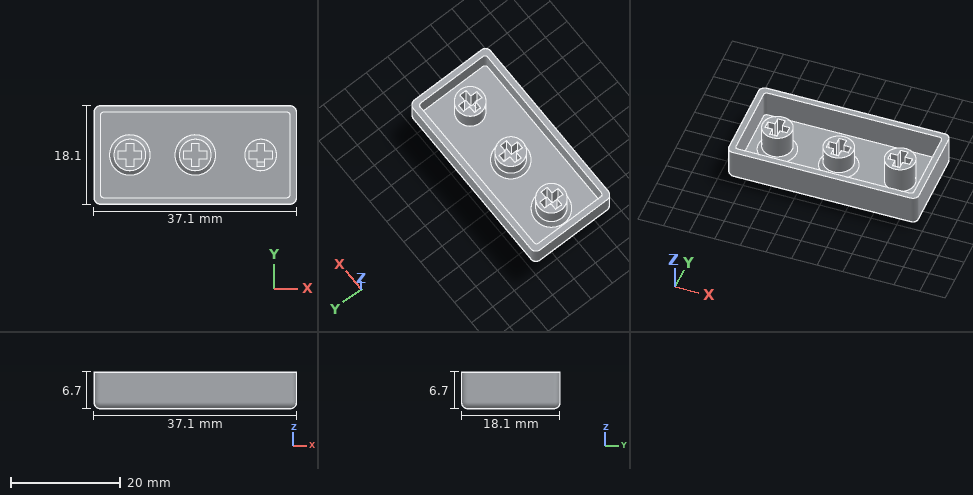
import cadquery as cq

length = 37.1
width = 18.05
height = 6.7
wall = 1.2
floor = 1.2
outer_radius = 1.2
bottom_radius = 1.15
inner_radius = 0.6
inner_length = length - 2 * wall
inner_width = width - 2 * wall

post_pitch = 12.0
post_diameter = 5.8
post_drop = 1.0
flare = 0.8

cross_length = 4.25
cross_width = 1.45
wedge = 0.8


def make_tray():
    """Open box with rounded corners and a rounded bottom edge."""
    body = cq.Workplane("XY").box(length, width, height, centered=(True, True, False))
    body = body.edges("|Z").fillet(outer_radius)
    body = body.faces("<Z").edges().fillet(bottom_radius)
    cavity = (
        cq.Workplane("XY", origin=(0, 0, floor))
        .rect(inner_length, inner_width)
        .extrude(height - floor)
        .edges("|Z")
        .fillet(inner_radius)
    )
    return body.cut(cavity)


def make_post(x, top, flared):
    """Round post standing on the floor, with an optional conical skirt."""
    radius = post_diameter / 2
    base = cq.Workplane("XY", origin=(x, 0, floor))
    post = base.circle(radius).extrude(top - floor)
    if flared:
        skirt = cq.Solid.makeCone(radius + flare, radius, flare, pnt=cq.Vector(x, 0, floor))
        post = post.union(cq.Workplane(skirt))
    return post


def make_socket(x, top):
    """Cross-shaped socket from the post top down to the floor."""
    base = cq.Workplane("XY", origin=(x, 0, floor))
    along_x = base.rect(cross_length, cross_width).extrude(top - floor)
    along_y = base.rect(cross_width, cross_length).extrude(top - floor)
    return along_x.union(along_y)


def make_wedge(x):
    """Sloped fill at the foot of the -Y arm of a socket."""
    arm_end = -cross_length / 2
    return (
        cq.Workplane("YZ", origin=(x, 0, 0))
        .polyline([(arm_end, floor), (arm_end + wedge, floor), (arm_end, floor + wedge)])
        .close()
        .extrude(cross_width / 2, both=True)
    )


posts = [
    (-post_pitch, height, True),
    (0, height - post_drop, True),
    (post_pitch, height, False),
]

result = make_tray()
for x, top, flared in posts:
    result = result.union(make_post(x, top, flared))
    result = result.cut(make_socket(x, top))
    if not flared:
        result = result.union(make_wedge(x))